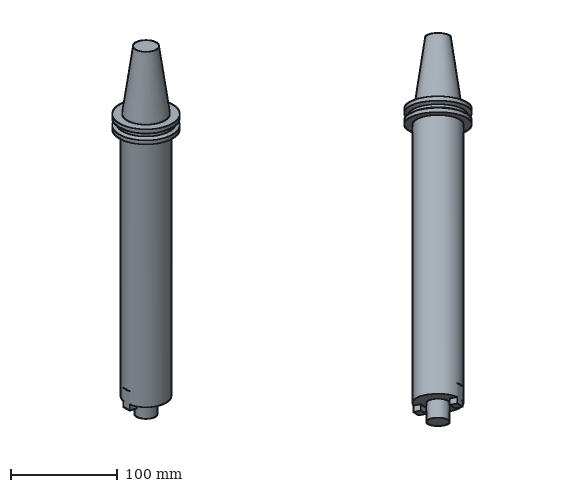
import cadquery as cq
import math


taper_ratio = 7 / 24
gauge_diameter = 44.45
shank_length = 68.45
shank_end_diameter = gauge_diameter - taper_ratio * shank_length

collar_diameter = 44.76
collar_top_z = -(collar_diameter - gauge_diameter) / taper_ratio

flange_diameter = 63.55
flange_top_z = -3.2
flange_bottom_z = -19.1
groove_center_z = -11.2
groove_floor_diameter = 56.0
groove_floor_width = 3.0
groove_depth = (flange_diameter - groove_floor_diameter) / 2
groove_flank_angle = 30
groove_wall_run = groove_depth * math.tan(math.radians(groove_flank_angle))

body_diameter = 48.0
body_end_z = -300.0
pilot_diameter = 22.0
pilot_length = 19.0

key_width = 10.0
key_protrusion = 6.4
key_height = 20.4
key_inner_offset = 15.5
key_outer_offset = math.sqrt((body_diameter / 2) ** 2 - (key_width / 2) ** 2)


def make_turned_part():
    """Revolve the half profile of shank, flange, body and pilot about Z."""
    flange_radius = flange_diameter / 2
    floor_radius = groove_floor_diameter / 2
    floor_top_z = groove_center_z + groove_floor_width / 2
    floor_bottom_z = groove_center_z - groove_floor_width / 2
    pilot_end_z = body_end_z - pilot_length
    profile = [
        (0, shank_length),
        (shank_end_diameter / 2, shank_length),
        (collar_diameter / 2, collar_top_z),
        (collar_diameter / 2, flange_top_z),
        (flange_radius, flange_top_z),
        (flange_radius, floor_top_z + groove_wall_run),
        (floor_radius, floor_top_z),
        (floor_radius, floor_bottom_z),
        (flange_radius, floor_bottom_z - groove_wall_run),
        (flange_radius, flange_bottom_z),
        (body_diameter / 2, flange_bottom_z),
        (body_diameter / 2, body_end_z),
        (pilot_diameter / 2, body_end_z),
        (pilot_diameter / 2, pilot_end_z),
        (0, pilot_end_z),
    ]
    return cq.Workplane("XZ").polyline(profile).close().revolve(360, (0, 0), (0, 1))


def make_key_block(side, inner_offset, outer_offset):
    """Block as wide and tall as a key, between two distances from the axis along Y (side is +1 or -1)."""
    return (
        cq.Workplane("XY")
        .workplane(offset=body_end_z - key_protrusion)
        .center(0, side * (inner_offset + outer_offset) / 2)
        .rect(key_width, outer_offset - inner_offset)
        .extrude(key_height)
    )


result = make_turned_part()
for key_side in (-1, 1):
    clearance_above_key = make_key_block(key_side, key_outer_offset, body_diameter / 2)
    drive_key = make_key_block(key_side, key_inner_offset, key_outer_offset)
    result = result.cut(clearance_above_key).union(drive_key)